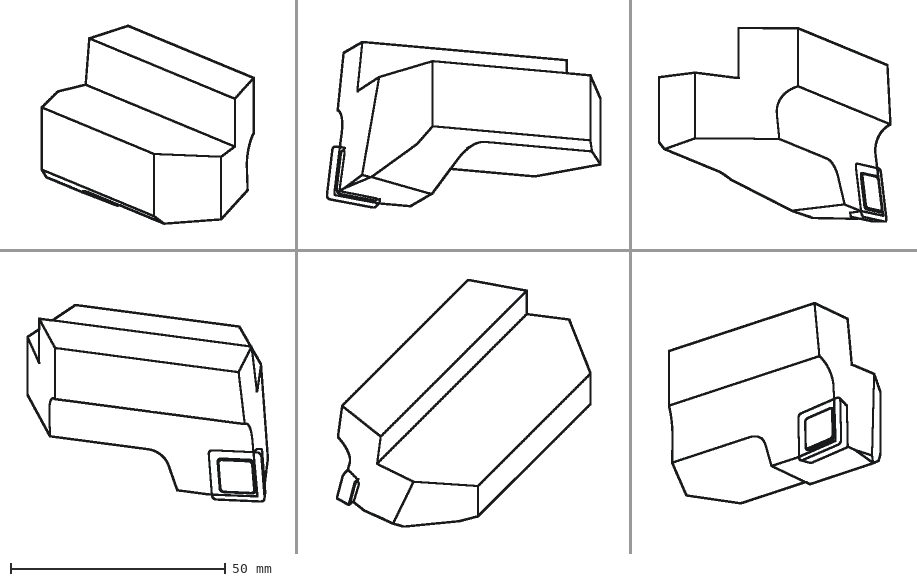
import cadquery as cq
import math


length = 61.68
depth = 34.67
spine_depth = 12.1
ledge_back_z = -12.0
ledge_front_z = -8.8
front_bottom_z = -24.4
chamfer_size = 3.65
underside_angle = 30.0
bottom_z = -36.1
gullet_tangent = (-4.33, -20.4)
gullet_radius = 6.3
rake_angle = 4.7

tail_angle = 30.0
tail_y = -20.85
front_left_x = 14.2
front_left_angle = 34.0

end_top_x = 5.42
end_angle = 6.1
tail_bottom_z = -26.5
heel_x = 21.0
heel_angle = 70.0
heel_radius = 5.3

nose_y = -10.3
nose_z = -34.95
end_relief_normal = (-1, -0.152, 0.0918)
bottom_slope = 0.099
side_relief_slope = 0.098
nose_facet_normal = (-1.257, -0.414, -1)

insert_side = 12.7
insert_thickness = 3.18
insert_corner = 1.0
insert_clearance = 11.0
insert_turn = 5.35
insert_back_y = -3.12
insert_corner_z = -36.12
plateau_inset = 2.0
plateau_height = 0.3
plateau_ramp = 45.0

seat_inset = 1.1
seat_height = 0.75
seat_flare = 45.0

BIG = 200.0


def tan(angle):
    return math.tan(math.radians(angle))


nose = (end_top_x + nose_z * tan(end_angle), nose_y, nose_z)


def cut_beyond(body, point, normal):
    """Remove everything on the normal's side of a plane."""
    block = cq.Workplane(cq.Plane(origin=point, normal=normal)).rect(BIG, BIG).extrude(BIG)
    return body.cut(block)


def gullet_arc():
    """Middle and upper end (Y, Z) of the arc that rises from the rake plane to the back face."""
    start_angle = math.radians(180 + rake_angle)
    centre_y = gullet_tangent[0] - gullet_radius * math.cos(start_angle)
    centre_z = gullet_tangent[1] - gullet_radius * math.sin(start_angle)
    top_angle = math.acos(-centre_y / gullet_radius)
    middle_angle = (start_angle + top_angle) / 2
    middle = (
        centre_y + gullet_radius * math.cos(middle_angle),
        centre_z + gullet_radius * math.sin(middle_angle),
    )
    top = (0, centre_z + gullet_radius * math.sin(top_angle))
    return middle, top


def section_prism():
    underside_start = (-depth + chamfer_size, front_bottom_z - chamfer_size)
    underside_end_y = underside_start[0] + (underside_start[1] - bottom_z) / tan(underside_angle)
    rake_bottom_y = gullet_tangent[0] + (gullet_tangent[1] - bottom_z) * tan(rake_angle)
    gullet_middle, gullet_top = gullet_arc()
    return (
        cq.Workplane("YZ")
        .moveTo(0, 0)
        .lineTo(-spine_depth, 0)
        .lineTo(-spine_depth, ledge_back_z)
        .lineTo(-depth, ledge_front_z)
        .lineTo(-depth, front_bottom_z)
        .lineTo(*underside_start)
        .lineTo(underside_end_y, bottom_z)
        .lineTo(rake_bottom_y, bottom_z)
        .lineTo(*gullet_tangent)
        .threePointArc(gullet_middle, gullet_top)
        .close()
        .extrude(length)
    )


def plan_prism():
    tail_back_x = length + tail_y * tan(tail_angle)
    tail_front_x = length - (depth + tail_y) * tan(tail_angle)
    left_y = -depth + front_left_x / tan(front_left_angle)
    outline = [
        (0, 0),
        (tail_back_x, 0),
        (length, tail_y),
        (tail_front_x, -depth),
        (front_left_x, -depth),
        (0, left_y),
    ]
    return cq.Workplane("XY").polyline(outline).close().extrude(bottom_z)


def front_prism():
    end_bottom_x = end_top_x + bottom_z * tan(end_angle)
    undercut_x = heel_x + (tail_bottom_z - bottom_z) / tan(heel_angle)
    outline = [
        (end_top_x, 0),
        (length, 0),
        (length, tail_bottom_z),
        (undercut_x, tail_bottom_z),
        (heel_x, bottom_z),
        (end_bottom_x, bottom_z),
    ]
    prism = cq.Workplane("XZ").polyline(outline).close().extrude(depth)
    undercut_edge = cq.selectors.NearestToPointSelector((undercut_x, -depth / 2, tail_bottom_z))
    return prism.edges(undercut_edge).fillet(heel_radius)


def place_insert(body):
    """Move a body from the insert's own axes (cutting corner at the origin) into place."""
    turn = math.radians(insert_turn)
    corner_x = insert_corner * (1 - math.cos(turn) - math.sin(turn))
    return (
        body.rotate((0, 0, 0), (0, 1, 0), insert_turn)
        .rotate((0, 0, 0), (1, 0, 0), rake_angle)
        .translate((corner_x, insert_back_y, insert_corner_z))
    )


def square_block(inset, start, height, taper):
    """Rounded square, inset from the cutting edges, tapering from Y = start along -Y."""
    side = insert_side - 2 * inset
    centre = insert_side / 2
    outline = cq.Sketch().rect(side, side).vertices().fillet(insert_corner)
    return (
        cq.Workplane("XZ", origin=(centre, start, centre))
        .placeSketch(outline)
        .extrude(height, taper=taper)
    )


def make_insert():
    body = square_block(0, 0, insert_thickness, insert_clearance)
    plateau = square_block(plateau_inset, 0, -plateau_height, plateau_ramp)
    return place_insert(body.union(plateau))


def make_holder(insert):
    holder = section_prism().intersect(plan_prism()).intersect(front_prism())
    holder = cut_beyond(holder, nose, end_relief_normal)
    holder = cut_beyond(holder, nose, (-bottom_slope, 0, -1))
    holder = cut_beyond(holder, nose, (-bottom_slope, -side_relief_slope, -1))
    holder = cut_beyond(holder, nose, nose_facet_normal)
    seat = place_insert(square_block(seat_inset, -insert_thickness, seat_height, seat_flare))
    return holder.union(seat).cut(insert)


insert = make_insert()
holder = make_holder(insert)

result = cq.Compound.makeCompound([holder.solids().val(), insert.solids().val()])